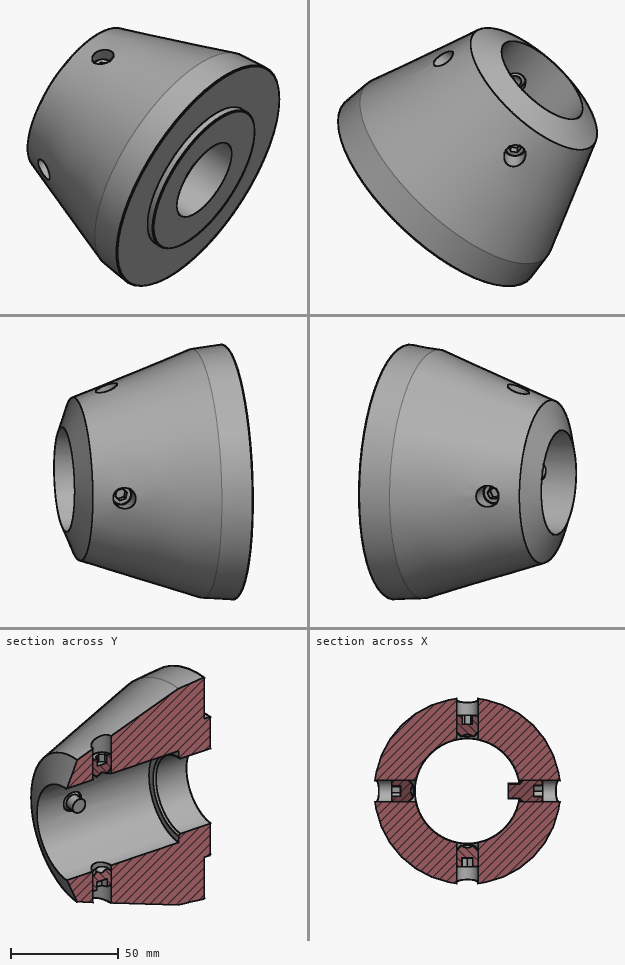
import cadquery as cq
import math

outer_radius = 59.5
nose_length = 6.0
nose_radius = 38.0
rim_start = 63.0
rim_start_radius = 58.0
flange_face = 77.8
boss_radius = 37.2
overall_length = 81.2
edge_chamfer = 0.5

bore_radius = 24.4
through_radius = 20.0
seat_chamfer = 1.0
seat_position = rim_start

screw_position = 20.0
screw_radius = 5.0
screw_head_chamfer = 0.5
hex_across_flats = 5.0
hex_depth = 4.0

cup_screw_length = 10.0
cup_tip_distance = 25.2
cup_rim_radius = 3.0
cup_depth = 1.7

dog_screw_length = 16.0
dog_tip_distance = 18.9
dog_radius = 3.6
dog_length = 5.2

cup_screw_angles = (0, 90, 180)
dog_screw_angle = 270

cup_screw_turns = (27, 16, 0)
dog_screw_turn = 0


def place_radially(solid, angle):
    """Move a body built along +Z at the origin to the screw plane and turn it about X."""
    return solid.translate((screw_position, 0, 0)).rotate((0, 0, 0), (1, 0, 0), angle)


def make_housing():
    profile = [
        (0, bore_radius),
        (nose_length, nose_radius),
        (rim_start, rim_start_radius),
        (flange_face - edge_chamfer, outer_radius),
        (flange_face, outer_radius - edge_chamfer),
        (flange_face, boss_radius),
        (overall_length - edge_chamfer, boss_radius),
        (overall_length, boss_radius - edge_chamfer),
        (overall_length, through_radius),
        (seat_position + seat_chamfer, through_radius),
        (seat_position, through_radius + seat_chamfer),
        (seat_position, bore_radius),
    ]
    body = cq.Workplane("XY").polyline(profile).close().revolve(360, (0, 0, 0), (1, 0, 0))
    for angle in (*cup_screw_angles, dog_screw_angle):
        hole = cq.Workplane("XY").circle(screw_radius).extrude(outer_radius)
        body = body.cut(place_radially(hole, angle))
    return body


def make_screw(tip_profile, head_distance, turn):
    """Turn a screw about Z, its tip outline listed from the axis outwards, and cut the hex socket."""
    profile = tip_profile + [
        (screw_radius, head_distance - screw_head_chamfer),
        (screw_radius - screw_head_chamfer, head_distance),
        (0, head_distance),
    ]
    screw = cq.Workplane("XZ").polyline(profile).close().revolve(360, (0, 0, 0), (0, 1, 0))
    hex_across_corners = hex_across_flats / math.cos(math.pi / 6)
    socket = (
        cq.Workplane("XY", origin=(0, 0, head_distance - hex_depth))
        .polygon(6, hex_across_corners)
        .extrude(hex_depth)
        .rotate((0, 0, 0), (0, 0, 1), turn)
    )
    return screw.cut(socket)


def make_cup_screw(angle, turn):
    tip_profile = [
        (0, cup_tip_distance + cup_depth),
        (cup_rim_radius, cup_tip_distance),
        (screw_radius, cup_tip_distance + screw_radius - cup_rim_radius),
    ]
    screw = make_screw(tip_profile, cup_tip_distance + cup_screw_length, turn)
    return place_radially(screw, angle)


def make_dog_screw(angle, turn):
    shoulder_distance = dog_tip_distance + dog_length
    tip_profile = [
        (0, dog_tip_distance),
        (dog_radius, dog_tip_distance),
        (dog_radius, shoulder_distance),
        (screw_radius, shoulder_distance + screw_radius - dog_radius),
    ]
    screw = make_screw(tip_profile, dog_tip_distance + dog_screw_length, turn)
    return place_radially(screw, angle)


housing = make_housing()
cup_screws = [make_cup_screw(angle, turn) for angle, turn in zip(cup_screw_angles, cup_screw_turns)]
dog_screw = make_dog_screw(dog_screw_angle, dog_screw_turn)

result = cq.Compound.makeCompound(
    [housing.val(), *[screw.val() for screw in cup_screws], dog_screw.val()]
)